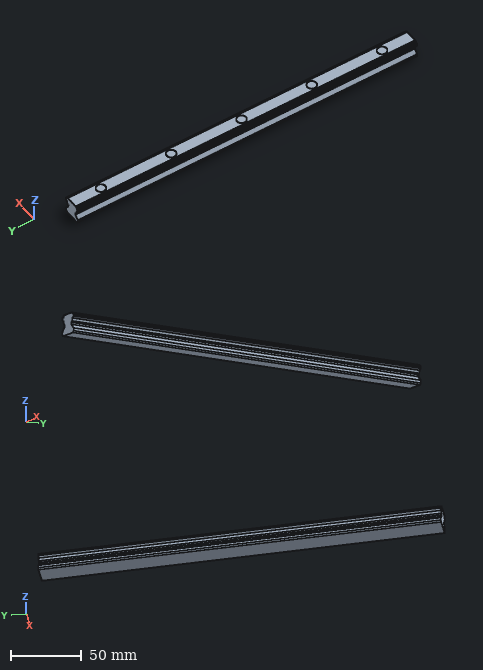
import cadquery as cq

length = 290.0
width = 15.0
height = 15.0
half_width = width / 2

base_chamfer_width = 1.0
base_chamfer_height = 1.2
foot_top = 3.2

waist_half_width = 4.5
waist_bottom = 6.5
waist_top = 7.8

neck_bottom_half_width = 5.5
neck_bottom = 8.7
neck_top_half_width = 6.0
neck_top = 10.7

head_bottom = 12.0
head_top = 12.8
lip_half_width = 7.2
lip_height = 13.5
crown_foot_half_width = 6.5
crown_half_width = 5.8
crown_bevel_height = 0.3
top_half_width = 5.0

recess_count = 5
recess_pitch = 60.0
recess_diameter = 7.5
recess_depth = 0.3


def make_rail():
    """Extrude the symmetric rail section along Y."""
    right_side = [
        (half_width - base_chamfer_width, 0),
        (half_width, base_chamfer_height),
        (half_width, foot_top),
        (waist_half_width, waist_bottom),
        (waist_half_width, waist_top),
        (neck_bottom_half_width, neck_bottom),
        (neck_top_half_width, neck_top),
        (half_width, head_bottom),
        (half_width, head_top),
        (lip_half_width, lip_height),
        (crown_foot_half_width, lip_height),
        (crown_half_width, height - crown_bevel_height),
        (top_half_width, height),
    ]
    left_side = [(-x, z) for x, z in reversed(right_side)]
    return (
        cq.Workplane("XZ")
        .polyline(right_side + left_side)
        .close()
        .extrude(length / 2, both=True)
        .translate((0, 0, -height / 2))
    )


def make_recesses():
    """Discs that sink the row of round recesses into the top face."""
    return (
        cq.Workplane("XY")
        .workplane(offset=height / 2 - recess_depth)
        .rarray(3, recess_pitch, 1, recess_count)
        .circle(recess_diameter / 2)
        .extrude(recess_depth)
    )


result = make_rail().cut(make_recesses())